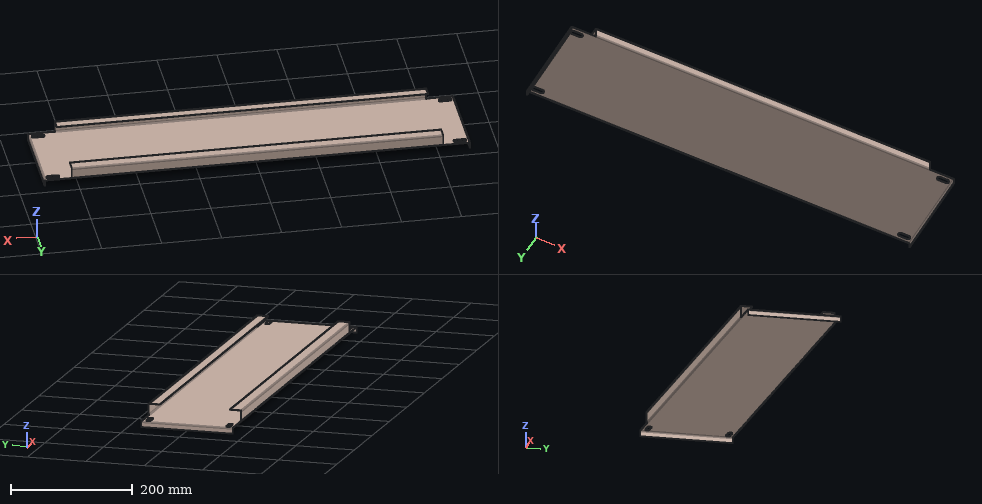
import cadquery as cq

length = 710.0
width = 160.0
height = 29.0

sheet = 1.0
outer_bend = 2 * sheet
inner_bend = outer_bend - sheet

rail_length = 619.0
rail_height = 20.0
lip_width = 20.0
edge_setback = 1.5
plate_width = width - 2 * edge_setback
plate_top = height - rail_height + sheet
plate_bottom = plate_top - sheet

slot_length = 21.0
slot_width = 7.0
slot_end_inset = 15.5
slot_side_inset = 10.0


def block(x_size, y_size, z_size, z_bottom):
    """Box centred on the Z axis and standing on z_bottom."""
    base = cq.Workplane("XY").workplane(offset=z_bottom)
    return base.box(x_size, y_size, z_size, centered=(True, True, False))


def rail_channel():
    """Upturned sides with inward lips, joined by the middle of the plate."""
    outside = block(rail_length, width, rail_height, plate_bottom)
    outside = outside.edges("|X").fillet(outer_bend)
    inside = block(length, width - 2 * sheet, rail_height - 2 * sheet, plate_top)
    opening = block(length, width - 2 * lip_width, rail_height, plate_top)
    return outside.cut(inside.edges("|X").fillet(inner_bend)).cut(opening)


def end_channel():
    """Full-length plate with a downturned flange at each end."""
    outside = block(length, plate_width, plate_top, 0).edges("|Y and >Z").fillet(outer_bend)
    inside = block(length - 2 * sheet, plate_width, plate_bottom, 0)
    return outside.cut(inside.edges("|Y and >Z").fillet(inner_bend))


def mounting_slots():
    """Cutters for the four lengthwise slots near the plate corners."""
    return (
        cq.Workplane("XY")
        .rect(length - 2 * slot_end_inset, plate_width - 2 * slot_side_inset, forConstruction=True)
        .vertices()
        .slot2D(slot_length, slot_width)
        .extrude(height)
    )


bend_relief = block(rail_length, width, height, 0).cut(
    block(rail_length, width - 2 * outer_bend, height, 0)
)
result = end_channel().cut(bend_relief).union(rail_channel()).cut(mounting_slots())